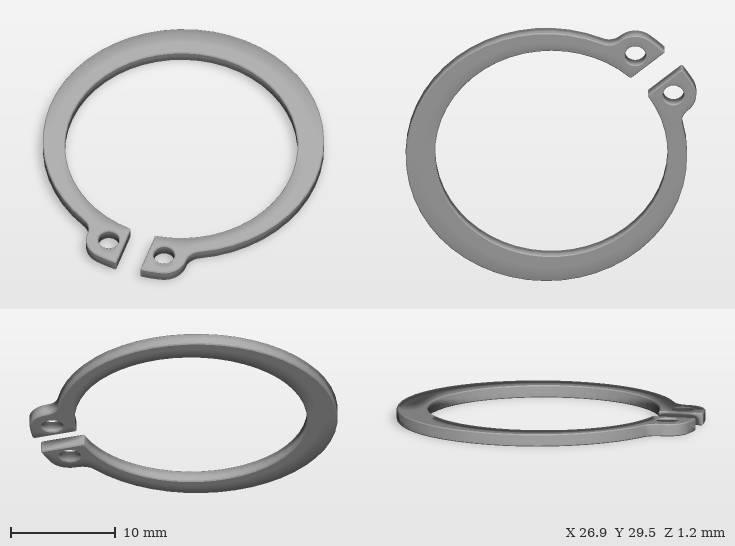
import cadquery as cq
import math

overall_length = 29.48
outer_diameter = 26.92
bore_diameter = 22.23
bore_offset = 0.62
thickness = 1.2
gap_width = 2.45

hole_diameter = 2.0
hole_x = 2.8
lug_radius = 2.18
neck_radius = 1.55
edge_chamfer = 0.1

outer_radius = outer_diameter / 2
bore_radius = bore_diameter / 2
half_gap = gap_width / 2

lug_end_y = outer_radius - overall_length
lug_end_radius = math.hypot(half_gap + edge_chamfer, lug_end_y)
hole_distance = lug_end_radius - lug_radius
hole_y = -math.sqrt(hole_distance**2 - hole_x**2)
ring_center = (0, 0)
hole_center = (hole_x, hole_y)


def base_plane():
    """Workplane on the underside of the ring."""
    return cq.Workplane("XY", origin=(0, 0, -thickness / 2))


def polar(center, radius, angle):
    """Point at the given angle (radians) on a circle."""
    return (center[0] + radius * math.cos(angle), center[1] + radius * math.sin(angle))


def direction(start, end):
    """Angle (radians) of the line from start to end."""
    return math.atan2(end[1] - start[1], end[0] - start[0])


def neck_center():
    """Centre of the blend arc that touches both the outer circle and the lug arc from outside."""
    ring_side = outer_radius + neck_radius
    lug_side = lug_radius + neck_radius
    cos_turn = (ring_side**2 + hole_distance**2 - lug_side**2) / (2 * ring_side * hole_distance)
    return polar(ring_center, ring_side, direction(ring_center, hole_center) + math.acos(cos_turn))


neck_blend_center = neck_center()


def arc_points(center, radius, start_angle, stop_angle):
    """Start, middle and end point of an arc."""
    middle_angle = (start_angle + stop_angle) / 2
    return [polar(center, radius, angle) for angle in (start_angle, middle_angle, stop_angle)]


def mirrored(points):
    """Points reflected across the YZ plane, in reverse order."""
    return [(-x, y) for x, y in reversed(points)]


def blank():
    """Solid plate with the outer shape of the ring and both lugs."""
    lug_start_angle = direction(ring_center, hole_center)
    lug_stop_angle = direction(hole_center, neck_blend_center)
    neck_angle = direction(ring_center, neck_blend_center)

    lug_side = arc_points(hole_center, lug_radius, lug_start_angle, lug_stop_angle)
    neck = arc_points(neck_blend_center, neck_radius, lug_stop_angle + math.pi, neck_angle + math.pi)
    outer = arc_points(ring_center, outer_radius, neck_angle, math.pi - neck_angle)
    lug_end = arc_points(ring_center, lug_end_radius, -math.pi - lug_start_angle, lug_start_angle)

    outline = base_plane().moveTo(*lug_side[0])
    for _, middle, end in (lug_side, neck, outer, mirrored(neck), mirrored(lug_side), lug_end):
        outline = outline.threePointArc(middle, end)
    return outline.close().extrude(thickness)


def bore():
    """Round opening that fits the shaft groove."""
    return base_plane().center(0, -bore_offset).circle(bore_radius).extrude(thickness)


def gap():
    """Slot between the lugs, running from the ring centre out past the lug ends."""
    return (
        base_plane()
        .rect(gap_width, overall_length)
        .extrude(thickness)
        .translate((0, -overall_length / 2, 0))
    )


def plier_holes():
    """One through hole in each lug."""
    centers = [(-hole_x, hole_y), (hole_x, hole_y)]
    return base_plane().pushPoints(centers).circle(hole_diameter / 2).extrude(thickness)


def break_gap_corners(ring):
    """Chamfer the four upright corners where the gap meets the bore and the lug ends."""
    near_gap = cq.selectors.BoxSelector(
        (-gap_width, -overall_length, -thickness),
        (gap_width, 0, thickness),
    )
    return ring.edges("|Z").edges(near_gap).chamfer(edge_chamfer)


def break_flat_edges(ring):
    """Chamfer every edge of the two flat faces."""
    return ring.faces("<Z or >Z").edges().chamfer(edge_chamfer)


ring = blank().cut(bore()).cut(gap()).cut(plier_holes())
result = break_flat_edges(break_gap_corners(ring))